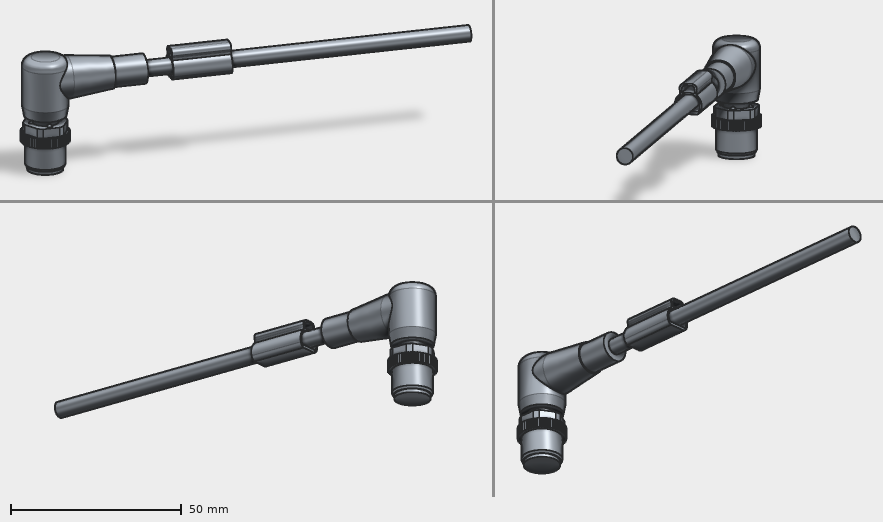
import cadquery as cq
import math


HOUSING_DIAMETER = 13.9
HOUSING_RADIUS = HOUSING_DIAMETER / 2
HOUSING_TOP = 35.0
HOUSING_BOTTOM = 16.9
HOUSING_TAPER_TOP = 20.2
HOUSING_FOOT_RADIUS = 6.3
HOUSING_TOP_FILLET = 2.7
CABLE_Z = 28.0
ARM_RADIUS = 6.5
ARM_TAPER_START = 6.9
ARM_TAPER_END = 20.2
ARM_TIP_RADIUS = 5.0
COLLAR_RADIUS = 4.5
COLLAR_END = 30.2

NUT_BOTTOM = 1.1
NUT_TOP = 14.8
THREAD_RADIUS = 6.0
THREAD_CHAMFER_LENGTH = 0.8
THREAD_CHAMFER_DEPTH = 0.4
KNURL_BOTTOM = 8.9
KNURL_TOP = 12.0
KNURL_RADIUS = 7.3
KNURL_DEPTH = 0.3
KNURL_TEETH = 52
HEX_ACROSS_FLATS = 12.4
HEX_ACROSS_CORNERS = 13.3
DETENTS = 4
DETENT_CENTER_RADIUS = 4.1
DETENT_RADIUS = 1.0
DETENT_HEIGHT = 0.8

CARRIER_LIP_RADIUS = 5.4
CARRIER_NECK_RADIUS = 4.0

CABLE_RADIUS = 2.5
TOTAL_LENGTH = 137.3
CABLE_END = TOTAL_LENGTH - KNURL_RADIUS

CLIP_START = 38.2
CLIP_LENGTH = 18.1
CLIP_WALL = 0.5
CLIP_BODY_RADIUS = 4.1
CLIP_BODY_CENTER = -0.8
CLIP_SIDE_BOTTOM = -1.9
CLIP_BASE = -3.5
CLIP_BASE_HALF_WIDTH = 2.6
CLIP_WAIST_HALF_WIDTH = 2.5
CLIP_WAIST_TOP = 3.3
CLIP_LABEL_TOP = 5.8
CLIP_LABEL_WIDTH = 5.4
CLIP_LABEL_HALF_WIDTH = CLIP_LABEL_WIDTH / 2
CLIP_LABEL_CORNER = 1.6


def y_cylinder(radius, start, end, z=CABLE_Z):
    return cq.Workplane("XZ", origin=(0, start, z)).circle(radius).extrude(start - end)


def z_cylinder(radius, bottom, top):
    return cq.Workplane("XY", origin=(0, 0, bottom)).circle(radius).extrude(top - bottom)


def make_housing():
    post = (
        z_cylinder(HOUSING_RADIUS, HOUSING_TAPER_TOP, HOUSING_TOP)
        .faces(">Z").edges().fillet(HOUSING_TOP_FILLET)
    )
    foot = (
        cq.Workplane("XY", origin=(0, 0, HOUSING_BOTTOM)).circle(HOUSING_FOOT_RADIUS)
        .workplane(offset=HOUSING_TAPER_TOP - HOUSING_BOTTOM).circle(HOUSING_RADIUS).loft()
    )
    arm = (
        cq.Workplane("XY")
        .polyline([
            (0, 0), (ARM_RADIUS, 0), (ARM_RADIUS, ARM_TAPER_START), (ARM_TIP_RADIUS, ARM_TAPER_END),
            (COLLAR_RADIUS, ARM_TAPER_END), (COLLAR_RADIUS, COLLAR_END), (0, COLLAR_END),
        ])
        .close().revolve(360, (0, 0, 0), (0, 1, 0)).translate((0, 0, CABLE_Z))
    )
    return post.union(foot).union(arm)


def make_cable():
    return y_cylinder(CABLE_RADIUS, COLLAR_END, CABLE_END)


def make_carrier():
    lip = z_cylinder(CARRIER_LIP_RADIUS, 0, NUT_BOTTOM)
    return lip.union(z_cylinder(CARRIER_NECK_RADIUS, NUT_BOTTOM, HOUSING_BOTTOM))


def make_knurl():
    points = []
    for i in range(2 * KNURL_TEETH):
        radius = KNURL_RADIUS - KNURL_DEPTH * (i % 2)
        angle = math.pi * i / KNURL_TEETH
        points.append((radius * math.cos(angle), radius * math.sin(angle)))
    return (
        cq.Workplane("XY", origin=(0, 0, KNURL_BOTTOM))
        .polyline(points).close().extrude(KNURL_TOP - KNURL_BOTTOM)
    )


def make_nut():
    thread = z_cylinder(THREAD_RADIUS, NUT_BOTTOM, KNURL_TOP)
    thread = thread.faces("<Z").edges().chamfer(THREAD_CHAMFER_LENGTH, THREAD_CHAMFER_DEPTH)
    hexagon = (
        cq.Workplane("XY", origin=(0, 0, KNURL_BOTTOM))
        .polygon(6, HEX_ACROSS_FLATS, circumscribed=True)
        .extrude(NUT_TOP - KNURL_BOTTOM)
        .intersect(z_cylinder(HEX_ACROSS_CORNERS / 2, KNURL_BOTTOM, NUT_TOP))
    )
    nut = thread.union(hexagon).union(make_knurl())
    for i in range(DETENTS):
        base_center = cq.Vector(DETENT_CENTER_RADIUS, 0, NUT_TOP)
        detent = cq.Solid.makeCone(DETENT_RADIUS, 0, DETENT_HEIGHT, base_center)
        nut = nut.union(cq.Workplane(detent).rotate((0, 0, 0), (0, 0, 1), i * 360 / DETENTS))
    return nut.cut(z_cylinder(CARRIER_NECK_RADIUS, NUT_BOTTOM, HOUSING_BOTTOM))


def clip_side_height(half_width):
    """Height at which the upper half of the clip's round body has this half width."""
    return CLIP_BODY_CENTER + math.sqrt(CLIP_BODY_RADIUS**2 - half_width**2)


def clip_side_half_width(height):
    """Half width of the clip's round body at this height."""
    return math.sqrt(CLIP_BODY_RADIUS**2 - (height - CLIP_BODY_CENTER) ** 2)


def make_clip_blank():
    top_flat = CLIP_LABEL_HALF_WIDTH - CLIP_LABEL_CORNER
    shoulder = CLIP_LABEL_TOP - CLIP_LABEL_CORNER
    corner_mid = CLIP_LABEL_CORNER * math.sqrt(0.5)
    right_half = (
        cq.Workplane("XZ", origin=(0, CLIP_START, CABLE_Z))
        .moveTo(0, CLIP_LABEL_TOP)
        .lineTo(top_flat, CLIP_LABEL_TOP)
        .threePointArc((top_flat + corner_mid, shoulder + corner_mid), (CLIP_LABEL_HALF_WIDTH, shoulder))
        .lineTo(CLIP_WAIST_HALF_WIDTH, CLIP_WAIST_TOP)
        .lineTo(CLIP_WAIST_HALF_WIDTH, clip_side_height(CLIP_WAIST_HALF_WIDTH))
        .threePointArc(
            (CLIP_BODY_RADIUS, CLIP_BODY_CENTER), (clip_side_half_width(CLIP_SIDE_BOTTOM), CLIP_SIDE_BOTTOM)
        )
        .tangentArcPoint((CLIP_BASE_HALF_WIDTH, CLIP_BASE), relative=False)
        .lineTo(0, CLIP_BASE)
        .close().extrude(-CLIP_LENGTH)
    )
    return right_half.union(right_half.mirror("YZ"))


def make_clip():
    end = CLIP_START + CLIP_LENGTH
    middle = (CLIP_START + end) / 2

    passage = y_cylinder(CLIP_BODY_RADIUS - CLIP_WALL, CLIP_START, end, CABLE_Z + CLIP_BODY_CENTER)
    passage = passage.intersect(
        cq.Workplane("XY", origin=(0, middle, CABLE_Z))
        .box(2 * CLIP_BODY_RADIUS, CLIP_LENGTH, 2 * CABLE_RADIUS)
    )

    slot_bottom = CABLE_RADIUS + CLIP_WALL
    slot = (
        cq.Workplane("XY", origin=(0, middle, CABLE_Z + slot_bottom))
        .box(
            2 * (CLIP_WAIST_HALF_WIDTH - CLIP_WALL),
            CLIP_LENGTH,
            CLIP_LABEL_TOP - CLIP_WALL - slot_bottom,
            centered=(True, True, False),
        )
        .edges("|Y and >Z").fillet(CLIP_LABEL_CORNER - CLIP_WALL)
    )
    return make_clip_blank().cut(passage).cut(slot)


housing = make_housing()
cable = make_cable()
carrier = make_carrier()
nut = make_nut()
clip = make_clip()

bodies = [housing, cable, carrier, nut, clip]
result = cq.Compound.makeCompound([body.solids().val() for body in bodies])